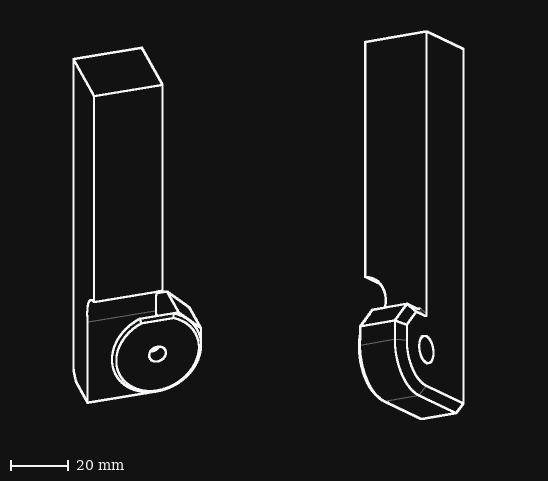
import cadquery as cq
import math

length = 131.6
bar_width = 24.9
overall_depth = 41.2

eye_radius = 16.2
eye_thickness = 17.1
eye_top = 31.2
corner_cut = 8.2
edge_chamfer = 3.0
root_fillet = 0.7

pad_height = 1.2

wide_diameter = 9.6
narrow_diameter = 6.0
wide_depth = 10.5
drill_half_angle = 59

runout_radius = 10.0
runout_center_x = 26.6
runout_center_z = 36.6

pivot_y = overall_depth - eye_radius
pivot_z = eye_radius
pad_face = eye_thickness + pad_height


def eye():
    """Eye outline reaching into the bar, chamfered along its -X edges and the bar's bottom."""
    return (
        cq.Workplane("YZ")
        .lineTo(pivot_y, 0)
        .radiusArc((overall_depth, pivot_z), -eye_radius)
        .lineTo(overall_depth, eye_top - corner_cut)
        .lineTo(overall_depth - corner_cut, eye_top)
        .lineTo(0, eye_top)
        .close()
        .extrude(eye_thickness)
        .faces("<X")
        .edges("not(<Y)")
        .chamfer(edge_chamfer)
    )


def bar():
    """Full-length square bar with its lower -X edge chamfered."""
    return (
        cq.Workplane("XY")
        .box(bar_width, bar_width, length, centered=False)
        .edges("<X and <Z")
        .chamfer(edge_chamfer)
    )


def bar_with_eye():
    """Bar and eye joined, with a small fillet where the eye's top meets the bar."""
    root_zone = cq.selectors.BoxSelector(
        (0, bar_width - root_fillet, eye_top - edge_chamfer),
        (eye_thickness, bar_width + root_fillet, eye_top + root_fillet),
    )
    return eye().union(bar()).edges(root_zone).fillet(root_fillet)


def runout_cut():
    """Material off the +X side of the bar's lower end, ending in a round run-out."""
    thinning = (
        cq.Workplane("XY", origin=(eye_thickness, 0, 0))
        .box(bar_width, overall_depth, runout_center_z, centered=False)
    )
    runout = (
        cq.Workplane("XZ")
        .center(runout_center_x, runout_center_z)
        .circle(runout_radius)
        .extrude(-bar_width)
    )
    return thinning.union(runout)


def bearing_pad():
    """Disc around the pin, cut flat level with the eye's top and chamfered over its full height."""
    flat_height = eye_top - pivot_z
    flat_half_width = math.sqrt(eye_radius**2 - flat_height**2)
    return (
        cq.Workplane("YZ", origin=(eye_thickness, pivot_y, pivot_z))
        .moveTo(-flat_half_width, flat_height)
        .threePointArc((0, -eye_radius), (flat_half_width, flat_height))
        .close()
        .extrude(pad_height, taper=45)
    )


def pin_hole():
    """Stepped hole along X whose step is the cone left by the drill point."""
    wide_radius = wide_diameter / 2
    narrow_radius = narrow_diameter / 2
    cone_depth = (wide_radius - narrow_radius) / math.tan(math.radians(drill_half_angle))
    return (
        cq.Workplane("XY", origin=(0, pivot_y, pivot_z))
        .lineTo(0, wide_radius)
        .lineTo(wide_depth, wide_radius)
        .lineTo(wide_depth + cone_depth, narrow_radius)
        .lineTo(pad_face, narrow_radius)
        .lineTo(pad_face, 0)
        .close()
        .revolve(360, (0, 0, 0), (1, 0, 0))
    )


result = bar_with_eye().cut(runout_cut()).union(bearing_pad()).cut(pin_hole())